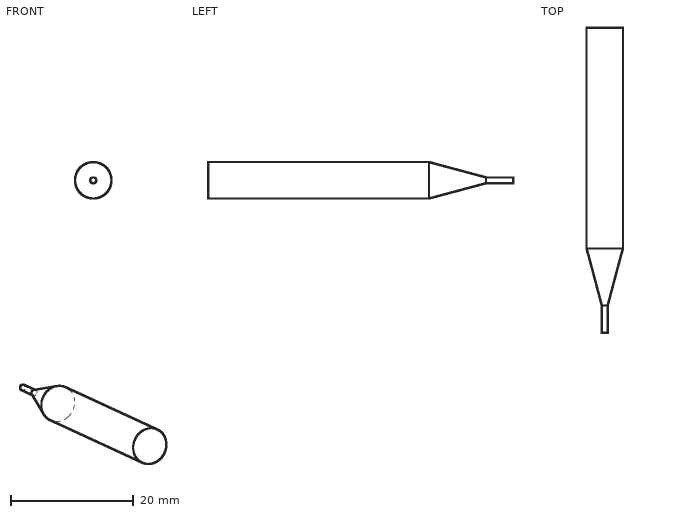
import cadquery as cq
import math

total_length = 50.0
shank_diameter = 6.0
tip_diameter = 1.0
tip_length = 4.5
taper_half_angle = 15.0

shank_radius = shank_diameter / 2
tip_radius = tip_diameter / 2
taper_length = (shank_radius - tip_radius) / math.tan(math.radians(taper_half_angle))
shank_start = tip_length + taper_length
shank_length = total_length - shank_start

tool_direction = cq.Vector(0, 1, 0)


def make_rod(radius, length, start):
    """Solid cylinder on the tool axis, starting at the given Y."""
    return cq.Solid.makeCylinder(radius, length, cq.Vector(0, start, 0), tool_direction)


def make_taper():
    """Solid cone frustum that widens from the tip to the shank."""
    taper_base = cq.Vector(0, tip_length, 0)
    return cq.Solid.makeCone(tip_radius, shank_radius, taper_length, taper_base, tool_direction)


tip = make_rod(tip_radius, tip_length, 0)
taper = make_taper()
shank = make_rod(shank_radius, shank_length, shank_start)

result = cq.Compound.makeCompound([tip, taper, shank])